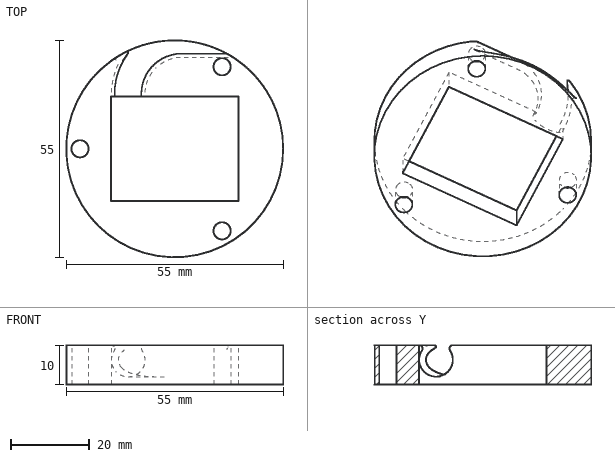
import cadquery as cq
import math

plate_diameter = 55.0
plate_height = 10.0

window_length = 32.2
window_width = 26.4

hole_diameter = 4.3
hole_count = 3
hole_circle_radius = 24.0
first_hole_angle = 180.0

channel_radius = 4.25
channel_axis_height = 6.25
bend_radius = 13.6
bend_angle = 90.0
entry_x = channel_radius - window_length / 2
exit_y = plate_diameter / 2
bend_end_x = entry_x + bend_radius
bend_start_y = exit_y - bend_radius

edge_radius = 0.9

clearance = 1.0


def make_plate():
    plate = cq.Workplane("XY").circle(plate_diameter / 2).extrude(plate_height)
    window = cq.Workplane("XY").rect(window_length, window_width).extrude(plate_height)
    return plate.cut(window)


def make_holes():
    return (
        cq.Workplane("XY")
        .polarArray(hole_circle_radius, first_hole_angle, 360, hole_count)
        .circle(hole_diameter / 2)
        .extrude(plate_height)
    )


def bore_section(plane, origin):
    """Plain round cross-section of the channel."""
    return cq.Workplane(plane, origin=origin).center(0, channel_axis_height).circle(channel_radius)


def lipped_section(plane, origin):
    """Cross-section of the bore opening upwards between two rounded lips.

    Each lip arc touches both the bore and the top face tangentially.
    """
    lip_center_height = plate_height - edge_radius
    lip_rise = lip_center_height - channel_axis_height
    center_distance = channel_radius + edge_radius
    lip_offset = math.sqrt(center_distance**2 - lip_rise**2)
    lip_tip_offset = lip_offset - edge_radius

    touch_offset = lip_offset * channel_radius / center_distance
    touch_height = channel_axis_height + lip_rise * channel_radius / center_distance

    bottom_height = channel_axis_height - channel_radius
    cutter_top = plate_height + clearance
    return (
        cq.Workplane(plane, origin=origin)
        .moveTo(-lip_offset, cutter_top)
        .lineTo(-lip_offset, plate_height)
        .threePointArc((-lip_tip_offset, lip_center_height), (-touch_offset, touch_height))
        .threePointArc((0, bottom_height), (touch_offset, touch_height))
        .threePointArc((lip_tip_offset, lip_center_height), (lip_offset, plate_height))
        .lineTo(lip_offset, cutter_top)
        .close()
    )


def channel_cutter(section):
    """Carry a section from inside the window, around the bend and straight out past the rim."""
    bend_start = (entry_x, bend_start_y, 0)
    bend_end = (bend_end_x, exit_y, 0)
    entry = section("XZ", bend_start).extrude(bend_start_y)
    bend = section("XZ", bend_start).revolve(bend_angle, (bend_radius, 0, 0), (bend_radius, -1, 0))
    run_out = section("YZ", bend_end).extrude(plate_diameter / 2)
    return entry.union(bend).union(run_out)


def round_rim_edges(body):
    """Round the edges where the bore breaks through the side of the plate.

    They are the only free-form curves of the body at this stage.
    """
    return body.edges("%BSPLINE").fillet(edge_radius)


plate = make_plate().cut(make_holes())
bored_plate = plate.cut(channel_cutter(bore_section))
result = round_rim_edges(bored_plate).cut(channel_cutter(lipped_section))